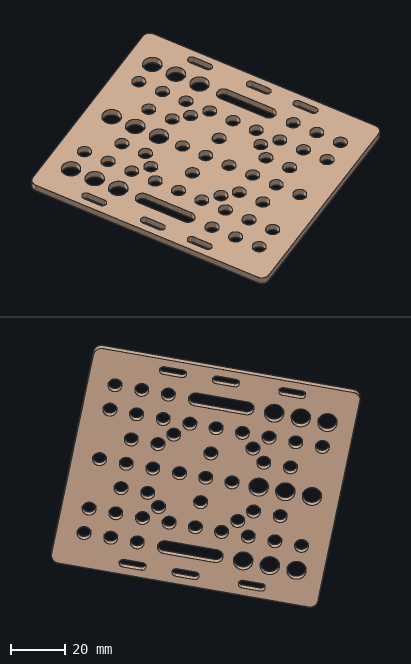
import cadquery as cq

length = 100.0
width = 88.0
thickness = 3.0
corner_radius = 3.0

column_pitch = 10.0
inner_column_span = 19.7

row_distances = (0.0, 10.0, 20.3, 30.3)

small_diameter = 5.1
large_diameter = 7.1

long_slot_length = 24.4
edge_slot_length = 10.0
edge_slot_width = 3.0
edge_slot_y = 39.5

small_hole_columns = {
    0: (-1, 0, 1, 2, 3, 4),
    1: (-3, -2, 0, 2, 3),
    2: (-4, -3, -2, -1, 0, 1, 2, 3, 4),
    3: (2, 3, 4),
}

large_hole_rows = (0, 3)
large_hole_columns = (-4, -3, -2)


def column_x(column):
    """X of a column; column 0 is on the centre line and negative columns are on the left."""
    if column == 0:
        return 0.0
    distance = inner_column_span / 2 + (abs(column) - 1) * column_pitch
    return distance if column > 0 else -distance


def mirrored_points(xs, y):
    """One point per x at +y and again at -y, or only once when y is zero."""
    sides = (1, -1) if y else (1,)
    return [(x, side * y) for side in sides for x in xs]


def row_points(row, columns):
    """Grid points of a row and its mirror image."""
    return mirrored_points([column_x(column) for column in columns], row_distances[row])


def drill(body, points, diameter):
    """Drill round holes through the plate."""
    return body.faces(">Z").workplane(origin=(0, 0, 0)).pushPoints(points).hole(diameter)


def cut_slots(body, points, slot_length, slot_width):
    """Cut round-ended slots along X through the plate."""
    top = body.faces(">Z").workplane(origin=(0, 0, 0))
    return top.pushPoints(points).slot2D(slot_length, slot_width).cutThruAll()


plate = cq.Workplane("XY").box(length, width, thickness)
plate = plate.edges("|Z").fillet(corner_radius)

for row, columns in small_hole_columns.items():
    plate = drill(plate, row_points(row, columns), small_diameter)

diagonal_offset = (column_x(1) + column_x(2)) / 2
diagonal_points = mirrored_points((-diagonal_offset, diagonal_offset), diagonal_offset)
plate = drill(plate, diagonal_points, small_diameter)

for row in large_hole_rows:
    plate = drill(plate, row_points(row, large_hole_columns), large_diameter)

plate = cut_slots(plate, row_points(3, (0,)), long_slot_length, small_diameter)

edge_slot_xs = ((column_x(-3) + column_x(-2)) / 2, 0.0, column_x(2))
plate = cut_slots(plate, mirrored_points(edge_slot_xs, edge_slot_y), edge_slot_length, edge_slot_width)

result = plate